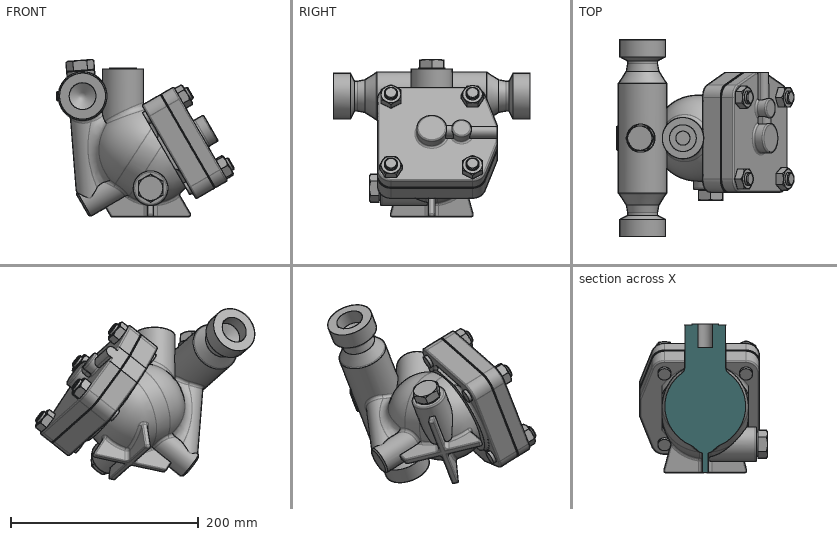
import cadquery as cq
import math


pipe_radius = 26.0
pipe_half = 58.5
pipe_edge = 1.0
reducer_radius = 17.5
reducer_end = 71.3
neck_radius = 16.0
neck_start = 79.4
neck_end = 82.3
socket_radius = 24.5
socket_start = 86.7
pipe_end = 105.0
seam_turn = -135
bore_radius = 14.285
bore_depth = 16.0
bore_cone = 8.0
label_width = 26.0
label_height = 10.0
label_x = -28.0
label_edge = 1.2

leg_tilt = 4.5
leg_radius = 14.8
leg_length = 111.0
leg_blend = 12.0
leg_pipe_blend = 3.0
collar_radius = 15.0
collar_top = 26.8
collar_gap_radius = 13.0
hex_flats = 26.0
top_hex_base = 27.6
top_hex_end = 38.3
hex_chamfer = 1.2

cover_tilt = 30.0
axis_offset = 97.7
flange_back = 50.0
gasket_back = 72.6
gasket_front = 73.8
cover_front = 89.0
gasket_inset = 0.8
cover_edge = 1.6
flange_half = 57.7
bolt_offset = 43.5
bulge_y = 70.0
bulge_half = 11.0
neck_toe_radius = 53.5
neck_radius_small = 49.9

nut_flats = 21.0
nut_top = 98.0
stud_radius = 7.0
stud_back = 46.4
stud_top = 101.65
stud_edge = 1.0
boss_top = 101.5
boss_edge = 1.5
boss_blend = 2.0
center_boss_radius = 16.0
side_boss_radius = 10.5
side_boss_y = 31.8
rib_radius = 6.0
outer_rib_axis = 92.0
inner_rib_axis = 95.0

body_radius = 46.0
ball_along = 30.3
ball_drop = 96.4
ball_spacing = 19.4
ball_slope = 33.0

inlet_x = 43.0
inlet_radius = 22.0
inlet_top = 29.0
inlet_seat_radius = 14.285
inlet_seat_height = 1.0
inlet_hole_radius = 7.5
inlet_hole_depth = 25.0
inlet_blend = 7.0
pipe_blend = 4.0
collar_window_x = 38.0
collar_window_z = -5.0

stub_radius = 15.0
stub_length = 88.0
stub_blend = 4.0
stub_end = -58.0
stub_drop = 100.4
stub_edge = 1.8

drain_x = 72.5
drain_z = -98.2
drain_radius = 18.5
drain_face = -54.8
drain_edge = 1.5
drain_hex_base = -56.0
drain_hex_end = -66.4

foot_z = -128.8
foot_top = -85.0
foot_thickness = 6.5
foot_edge = 1.2
foot_corner = 2.5
foot_blend = 4.0
foot_body_blend = 3.0

touch_gap = 0.001

cos_cover = math.cos(math.radians(cover_tilt))
sin_cover = math.sin(math.radians(cover_tilt))


def tilted_plane(along, up):
    """Plane square to the cover axis; local x is global Y, local y runs up the cover."""
    x = along * cos_cover - up * sin_cover
    z = along * sin_cover + up * cos_cover
    return cq.Plane(origin=(x, 0, z), xDir=(0, 1, 0), normal=(cos_cover, 0, sin_cover))


def cover_plane(along):
    return tilted_plane(along, -axis_offset)


def shared_edges(joined, first, second):
    """Edges of a joined solid that lie on the surfaces of both original solids."""
    edges = []
    for edge in joined.edges().vals():
        middle = cq.Vertex.makeVertex(*edge.positionAt(0.5).toTuple())
        gaps = [min(middle.distance(face) for face in solid.faces().vals()) for solid in (first, second)]
        if max(gaps) < touch_gap:
            edges.append(edge)
    return edges


def join_blended(first, second, radius):
    joined = first.union(second)
    return joined.newObject(shared_edges(joined, first, second)).fillet(radius)


def end_of(plane, far):
    """Selector for the farthest (or nearest) face along the normal of a plane."""
    return cq.selectors.DirectionMinMaxSelector(plane.zDir, far)


def hex_head(plane, flats, height, turn):
    """Hexagon with its outer corners rounded off by a cone."""
    corner = flats / math.sqrt(3)
    head = cq.Workplane(plane).transformed(rotate=(0, 0, turn)).polygon(6, 2 * corner).extrude(height)
    cone = cq.Workplane(plane).circle(corner).extrude(height)
    cone = cone.faces(end_of(plane, True)).chamfer(hex_chamfer, corner - flats / 2)
    return head.intersect(cone)


def make_pipe():
    half = [
        (pipe_radius, pipe_half),
        (pipe_radius - pipe_edge, pipe_half + pipe_edge),
        (reducer_radius, reducer_end),
        (neck_radius, neck_start),
        (neck_radius, neck_end),
        (socket_radius, socket_start),
        (socket_radius, pipe_end),
    ]
    mirrored = [(r, -y) for r, y in reversed(half)]
    outline = [(0, -pipe_end)] + mirrored + half + [(0, pipe_end)]
    pipe = cq.Workplane("XY").polyline(outline).close().revolve(360, (0, 0), (0, 1))
    return pipe.rotate((0, 0, 0), (0, 1, 0), seam_turn)


def make_label():
    pad = cq.Workplane("XY").box(-label_x, label_width, label_height).translate((label_x / 2, 0, 0))
    return pad.faces("<X").edges().chamfer(label_edge)


def make_bores():
    outline = [
        (0, pipe_end),
        (bore_radius, pipe_end),
        (bore_radius, pipe_end - bore_depth),
        (0, pipe_end - bore_depth - bore_cone),
    ]
    bore = cq.Workplane("XY").polyline(outline).close().revolve(360, (0, 0), (0, 1))
    return bore.union(bore.mirror("XZ"))


def lean(shape):
    return shape.rotate((0, 0, 0), (0, 1, 0), -leg_tilt)


def make_leg():
    """Leaning cylinder, trimmed where it would pass the end of the stub."""
    leg = lean(cq.Workplane("XY").circle(leg_radius).extrude(-leg_length))
    beyond = cq.Workplane(tilted_plane(stub_end + stub_edge, -stub_drop)).circle(2 * stub_radius)
    return leg.cut(beyond.extrude(-2 * stub_radius))


def make_screen_plug():
    plug = cq.Workplane("XY").circle(collar_radius).extrude(collar_top)
    plug = plug.union(cq.Workplane("XY").circle(collar_gap_radius).extrude(top_hex_base))
    head_plane = cq.Plane(origin=(0, 0, top_hex_base))
    plug = plug.union(hex_head(head_plane, hex_flats, top_hex_end - top_hex_base, 0))
    return lean(plug)


def make_body():
    lower = tilted_plane(ball_along, -ball_drop).origin
    slope = math.radians(ball_slope)
    direction = cq.Vector(-math.cos(slope), 0, math.sin(slope))
    upper = lower + direction * ball_spacing
    barrel = cq.Workplane(cq.Plane(lower, (0, 1, 0), direction)).circle(body_radius).extrude(ball_spacing)
    for center in (lower, upper):
        barrel = barrel.union(cq.Workplane("XY").sphere(body_radius).translate(center))
    return barrel


def make_inlet():
    length = inlet_top - tilted_plane(ball_along, -ball_drop).origin.z
    return cq.Workplane("XY", origin=(inlet_x, 0, inlet_top)).circle(inlet_radius).extrude(-length)


def make_seat():
    return cq.Workplane("XY", origin=(inlet_x, 0, inlet_top)).circle(inlet_seat_radius).extrude(inlet_seat_height)


def make_inlet_hole():
    start = inlet_top + inlet_seat_height
    return cq.Workplane("XY", origin=(inlet_x, 0, start)).circle(inlet_hole_radius).extrude(-inlet_hole_depth)


def make_stub():
    plane = tilted_plane(stub_end, -stub_drop)
    stub = cq.Workplane(plane).circle(stub_radius).extrude(stub_length)
    return stub.faces(end_of(plane, False)).chamfer(stub_edge)


def cover_slab(start, end, inset=0.0):
    """Rounded square, with a blunt bulge on the +Y side, between two stations on the cover axis."""
    half = flange_half - inset
    corner = half - bolt_offset
    bulge = bulge_y - inset
    plane = cover_plane(start)
    slab = cq.Workplane(plane).rect(2 * half, 2 * half).extrude(end - start)
    slab = slab.edges(cq.selectors.ParallelDirSelector(plane.zDir)).fillet(corner)
    dy = bulge - bolt_offset
    dt = bulge_half - bolt_offset
    angle = math.atan2(dt, dy) + math.acos(corner / math.hypot(dy, dt))
    touch_y = bolt_offset + corner * math.cos(angle)
    touch_t = bolt_offset + corner * math.sin(angle)
    outline = [(0, -touch_t), (touch_y, -touch_t), (bulge, -bulge_half)]
    outline += [(bulge, bulge_half), (touch_y, touch_t), (0, touch_t)]
    return slab.union(cq.Workplane(plane).polyline(outline).close().extrude(end - start))


def make_cover():
    """Body flange, gasket and lid, with the lid's bosses and ribs."""
    axis = cover_plane(flange_back)
    base = cover_slab(flange_back, gasket_back)
    base = base.faces(end_of(axis, False)).edges().fillet(cover_edge)
    gasket = cover_slab(gasket_back, gasket_front, gasket_inset)
    lid = cover_slab(gasket_front, cover_front)
    lid = lid.faces(end_of(axis, True)).edges().fillet(cover_edge)
    bosses = cover_boss(center_boss_radius, 0).union(cover_boss(side_boss_radius, side_boss_y))
    lid = join_blended(lid, bosses, boss_blend)
    lid = lid.union(cover_rib(0, side_boss_y, inner_rib_axis))
    lid = lid.union(cover_rib(side_boss_y, bulge_y, outer_rib_axis))
    return base.union(gasket).union(lid)


def make_neck():
    """Short collar that flares onto the back of the flange, flattened on both Y sides."""
    flare = neck_toe_radius - neck_radius_small
    lift = flare * (1 - math.sqrt(0.5))
    plane = cover_plane(flange_back - flare)
    side = cq.Plane(plane.origin, xDir=(0, 1, 0), normal=plane.yDir.multiply(-1))
    profile = cq.Workplane(side).lineTo(neck_radius_small, 0)
    profile = profile.threePointArc((neck_radius_small + lift, flare - lift), (neck_toe_radius, flare))
    neck = profile.lineTo(0, flare).close().revolve(360, (0, 0), (0, 1))
    trim = cq.Workplane(plane).rect(2 * body_radius, 4 * body_radius).extrude(flare)
    return neck.intersect(trim)


def make_nuts():
    """Four studs through the flange; the hexagons of diagonal neighbours stand alike."""
    nuts = []
    for side in (-1, 1):
        for up in (-1, 1):
            plane = cover_plane(cover_front)
            plane.origin = plane.toWorldCoords((side * bolt_offset, up * bolt_offset, 0))
            turn = 0 if side == up else 30
            nut = hex_head(plane, nut_flats, nut_top - cover_front, turn)
            stud = cq.Workplane(plane).workplane(offset=stud_back - cover_front)
            stud = stud.circle(stud_radius).extrude(stud_top - stud_back)
            stud = stud.faces(end_of(plane, True)).chamfer(stud_edge)
            nuts.append(nut.union(stud))
    return nuts


def cover_boss(radius, y):
    plane = cover_plane(gasket_front)
    boss = cq.Workplane(plane).center(y, 0).circle(radius).extrude(boss_top - gasket_front)
    return boss.faces(end_of(plane, True)).edges().fillet(boss_edge)


def cover_rib(start, end, along):
    """Round-topped rib running along Y at mid height of the cover."""
    plane = cover_plane(gasket_front)
    height = along - gasket_front
    side = cq.Plane(plane.toWorldCoords((start, 0, 0)), xDir=plane.yDir, normal=(0, 1, 0))
    rib = cq.Workplane(side).moveTo(-rib_radius, 0).lineTo(-rib_radius, height)
    rib = rib.threePointArc((0, height + rib_radius), (rib_radius, height)).lineTo(rib_radius, 0).close()
    return rib.extrude(end - start)


def make_drain():
    boss = cq.Workplane("XZ", origin=(drain_x, 0, drain_z)).circle(drain_radius).extrude(-drain_face)
    boss = boss.faces("<Y").fillet(drain_edge)
    gap = cq.Workplane("XZ", origin=(drain_x, 0, drain_z)).circle(collar_gap_radius).extrude(-drain_hex_base)
    plane = cq.Plane((drain_x, drain_hex_base, drain_z), xDir=(0, 0, 1), normal=(0, -1, 0))
    head = hex_head(plane, hex_flats, drain_hex_base - drain_hex_end, 0)
    return boss.union(gap).union(head)


def make_feet():
    """Two upright plates crossing below the drain, blended where they meet."""
    half = foot_thickness / 2
    long_outline = [(30.5, foot_z), (117.0, foot_z), (91.5, foot_top), (5.0, foot_top)]
    along = cq.Workplane("XZ", origin=(0, half, 0)).polyline(long_outline).close().extrude(foot_thickness)
    along = along.edges("|Y and <Z").fillet(foot_corner)
    along = along.faces("<Z").edges("|X").fillet(foot_edge)
    cross_outline = [(45.0, foot_z), (-45.0, foot_z), (-33.0, foot_top), (33.0, foot_top)]
    across = cq.Workplane("YZ", origin=(drain_x - half, 0, 0)).polyline(cross_outline).close()
    across = across.extrude(foot_thickness)
    across = across.edges("|X and <Z").fillet(foot_corner)
    across = across.faces("<Z").edges("|Y").fillet(foot_edge)
    feet = along.union(across)
    reach = foot_thickness
    inner = cq.selectors.BoxSelector(
        (drain_x - reach, -reach, foot_z + foot_edge),
        (drain_x + reach, reach, foot_top),
    )
    return feet.edges("|Z").edges(inner).fillet(foot_blend)


def make_connector(body):
    """Pipe, leg and body, with the leg blended at both ends."""
    leg = make_leg()
    lower = join_blended(body, leg, leg_blend)
    joined = lower.union(make_pipe())
    return joined.newObject(shared_edges(joined, make_pipe(), leg)).fillet(leg_pipe_blend)


def make_inlet_collar():
    """Concave blend between the pipe and the inlet boss, above the leg."""
    joined = join_blended(make_pipe(), make_inlet(), pipe_blend)
    length = 2 * pipe_radius
    window = cq.Workplane("XY", origin=(collar_window_x, 0, collar_window_z))
    return joined.intersect(window.rect(length, 4 * inlet_radius).extrude(length))


body = make_body()
result = make_connector(body)
result = result.union(join_blended(body, make_inlet(), inlet_blend))
result = result.union(make_inlet_collar())
result = result.union(join_blended(body, make_stub(), stub_blend))
result = result.union(join_blended(body, make_feet(), foot_body_blend))
for part in (make_label(), make_screen_plug(), make_seat(), make_drain(), make_neck(), make_cover()):
    result = result.union(part)
for part in make_nuts():
    result = result.union(part)
result = result.cut(make_bores()).cut(make_inlet_hole())